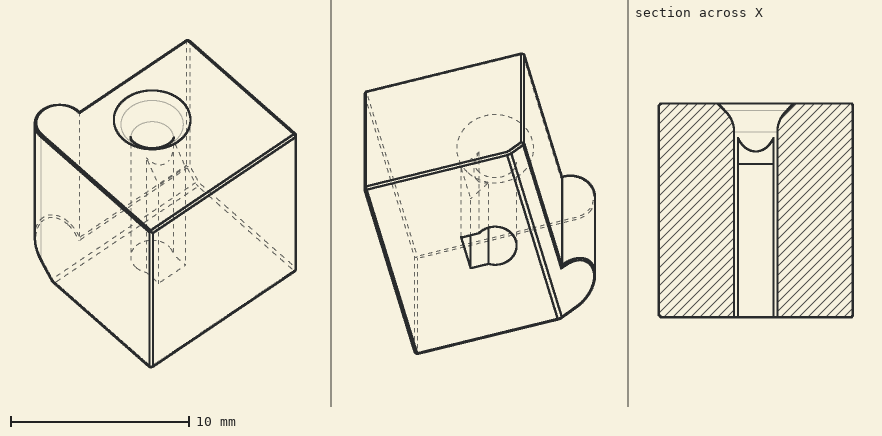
import cadquery as cq
import math

block_width = 9.3
block_depth = 10.9
block_height = 12.0

rib_reach = 1.5
rib_radius = 1.4

bevel_size = 2.35

broad_chamfer = 0.14
fine_chamfer = 0.09

bore_radius = 1.2
hole_x = 3.15
hole_y = block_depth / 2
mouth_radius = 2.15
mouth_depth = 0.4
throat_height = 1.2

slot_width = 2.0
slot_reach = 1.7
slot_top_z = 10.05
slot_roof_slope = 1.4


def make_body():
    """Block and rib, drawn from above and extruded upwards."""
    rib_center_x = rib_radius - rib_reach
    return (
        cq.Workplane("XY")
        .moveTo(rib_center_x, 0)
        .lineTo(block_width, 0)
        .lineTo(block_width, block_depth)
        .lineTo(0, block_depth)
        .lineTo(0, 2 * rib_radius)
        .lineTo(rib_center_x, 2 * rib_radius)
        .threePointArc((-rib_reach, rib_radius), (rib_center_x, 0))
        .close()
        .extrude(block_height)
    )


def make_bevel_cutter():
    """Triangular prism that removes the lower left edge."""
    return (
        cq.Workplane("XZ")
        .moveTo(-rib_reach, 0)
        .lineTo(bevel_size - rib_reach, 0)
        .lineTo(-rib_reach, bevel_size)
        .close()
        .extrude(-block_depth)
    )


def chamfer_edges(body):
    """Chamfer all edges except the upright ones on the rib, where walls blend or form an inside corner.

    The two chamfer sizes are cut on separate copies, and the copies' overlap has both.
    """
    bevel_foot = body.faces("<Z").edges("<X")
    broad = body.edges(">X or >Y").add(bevel_foot).chamfer(broad_chamfer)
    fine = body.edges("not (|Z or >X or >Y)").chamfer(fine_chamfer)
    return broad.intersect(fine)


def make_hole_cutter():
    """Through bore whose mouth is a cone blended into the bore by a convex arc."""
    cone_end_radius = mouth_radius - mouth_depth
    cone_end_z = block_height - mouth_depth
    bore_top_z = cone_end_z - throat_height
    throat_flare = cone_end_radius - bore_radius
    throat_radius = (throat_flare**2 + throat_height**2) / (2 * throat_flare)
    mid_angle = math.asin(throat_height / throat_radius) / 2
    throat_mid = (
        bore_radius + throat_radius * (1 - math.cos(mid_angle)),
        bore_top_z + throat_radius * math.sin(mid_angle),
    )
    return (
        cq.Workplane("XZ")
        .lineTo(bore_radius, 0)
        .lineTo(bore_radius, bore_top_z)
        .threePointArc(throat_mid, (cone_end_radius, cone_end_z))
        .lineTo(mouth_radius, block_height)
        .lineTo(0, block_height)
        .close()
        .revolve(360, (0, 0, 0), (0, 1, 0))
        .translate((hole_x, hole_y, 0))
    )


def make_slot_cutter():
    """Narrow slot beside the bore with a roof that falls away from the bore axis."""
    slot_start = math.sqrt(bore_radius**2 - (slot_width / 2) ** 2)
    end_z = slot_top_z - slot_roof_slope * (slot_reach - slot_start)
    return (
        cq.Workplane("XZ")
        .moveTo(slot_start, 0)
        .lineTo(slot_reach, 0)
        .lineTo(slot_reach, end_z)
        .lineTo(slot_start, slot_top_z)
        .close()
        .extrude(slot_width / 2, both=True)
        .translate((hole_x, hole_y, 0))
    )


body = make_body().cut(make_bevel_cutter())
result = chamfer_edges(body).cut(make_hole_cutter()).cut(make_slot_cutter())